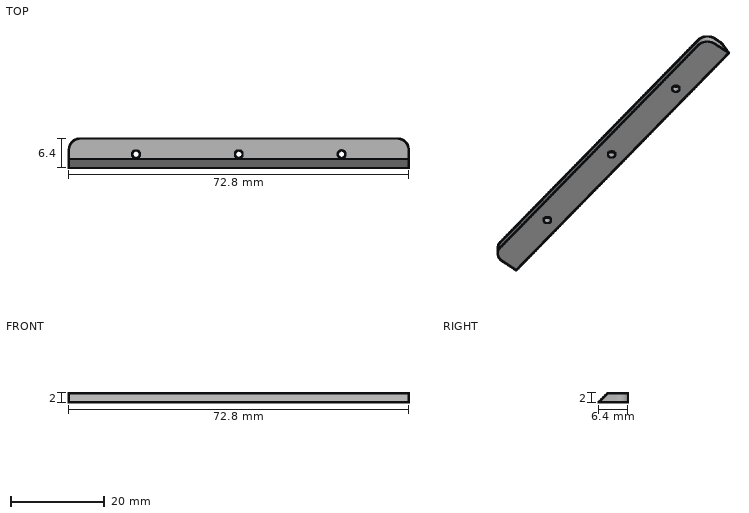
import cadquery as cq

length = 72.8
width = 6.4
thickness = 2.0

bevel_setback = 2.0

corner_radius = 2.5

hole_diameter = 1.6
hole_pitch = 22.0
hole_count = 3
hole_from_front = 3.0


def beveled_bar():
    """Bar along X with a sloped front side that ends in a sharp bottom edge."""
    profile = [
        (0, 0),
        (width, 0),
        (width, thickness),
        (bevel_setback, thickness),
    ]
    return cq.Workplane("YZ").polyline(profile).close().extrude(length / 2, both=True)


def round_rear_corners(bar):
    """Round the two vertical edges at the rear (+Y) side."""
    return bar.faces(">Y").edges("|Z").fillet(corner_radius)


def drill_holes(bar):
    """Cut the row of round holes through the full thickness."""
    drills = (
        cq.Workplane("XY")
        .center(0, hole_from_front)
        .rarray(hole_pitch, 1, hole_count, 1)
        .circle(hole_diameter / 2)
        .extrude(thickness)
    )
    return bar.cut(drills)


result = drill_holes(round_rear_corners(beveled_bar()))